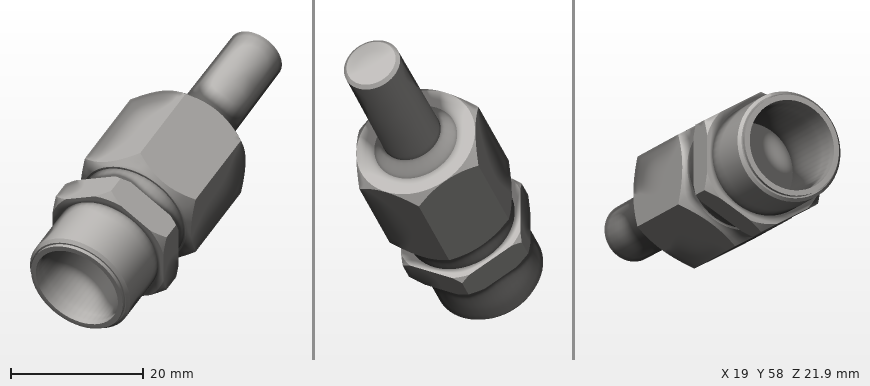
import cadquery as cq
import math

total_length = 58.0

across_flats = 19.0
across_corners = across_flats / math.cos(math.radians(30))
corner_radius = across_corners / 2

sleeve_radius = 17.2 / 2
lip_radius = 15.8 / 2
lip_length = 0.6
mouth_bevel_length = 0.45
mouth_bevel_height = 0.45
bore_diameter = 14.1

collar_start = 10.0
collar_end = 14.8
collar_front_chamfer = 1.05
collar_rear_chamfer = 0.7

nut_start = 18.3
nut_end = 36.5
nut_front_chamfer = 2.05
nut_rear_chamfer = 1.5

neck_length = 2.1
neck_base_radius = 6.6
stem_root_radius = 9.35 / 2
stem_tip_radius = 9.0 / 2
tip_chamfer_length = 0.45
tip_chamfer_height = 0.6

bore_depth = collar_end


def revolve_about_y(points):
    """Solid of revolution about Y from (radius, Y) points."""
    return cq.Workplane("XY").polyline(points).close().revolve(360, (0, 0, 0), (0, 1, 0))


def chamfered_hexagon(start, end, front_chamfer, rear_chamfer):
    """Hexagonal prism along Y with its corners turned to 45-degree cones at both ends."""
    length = end - start
    prism = (
        cq.Workplane("XZ", origin=(0, start, 0))
        .polygon(6, across_corners)
        .extrude(-length)
        .rotate((0, 0, 0), (0, 1, 0), 30)
    )
    envelope = revolve_about_y([
        (0, start),
        (corner_radius - front_chamfer, start),
        (corner_radius, start + front_chamfer),
        (corner_radius, end - rear_chamfer),
        (corner_radius - rear_chamfer, end),
        (0, end),
    ])
    return prism.intersect(envelope)


def round_body():
    """Sleeve, neck and stem as one turned body."""
    bevel_end = lip_length + mouth_bevel_length
    neck_end = nut_end + neck_length
    return revolve_about_y([
        (0, 0),
        (lip_radius, 0),
        (lip_radius, lip_length),
        (sleeve_radius - mouth_bevel_height, lip_length),
        (sleeve_radius, bevel_end),
        (sleeve_radius, nut_end),
        (neck_base_radius, nut_end),
        (stem_root_radius, neck_end),
        (stem_tip_radius, total_length - tip_chamfer_length),
        (stem_tip_radius - tip_chamfer_height, total_length),
        (0, total_length),
    ])


collar = chamfered_hexagon(collar_start, collar_end, collar_front_chamfer, collar_rear_chamfer)
nut = chamfered_hexagon(nut_start, nut_end, nut_front_chamfer, nut_rear_chamfer)
bore = cq.Workplane("XZ").circle(bore_diameter / 2).extrude(-bore_depth)

result = round_body().union(collar).union(nut).cut(bore)